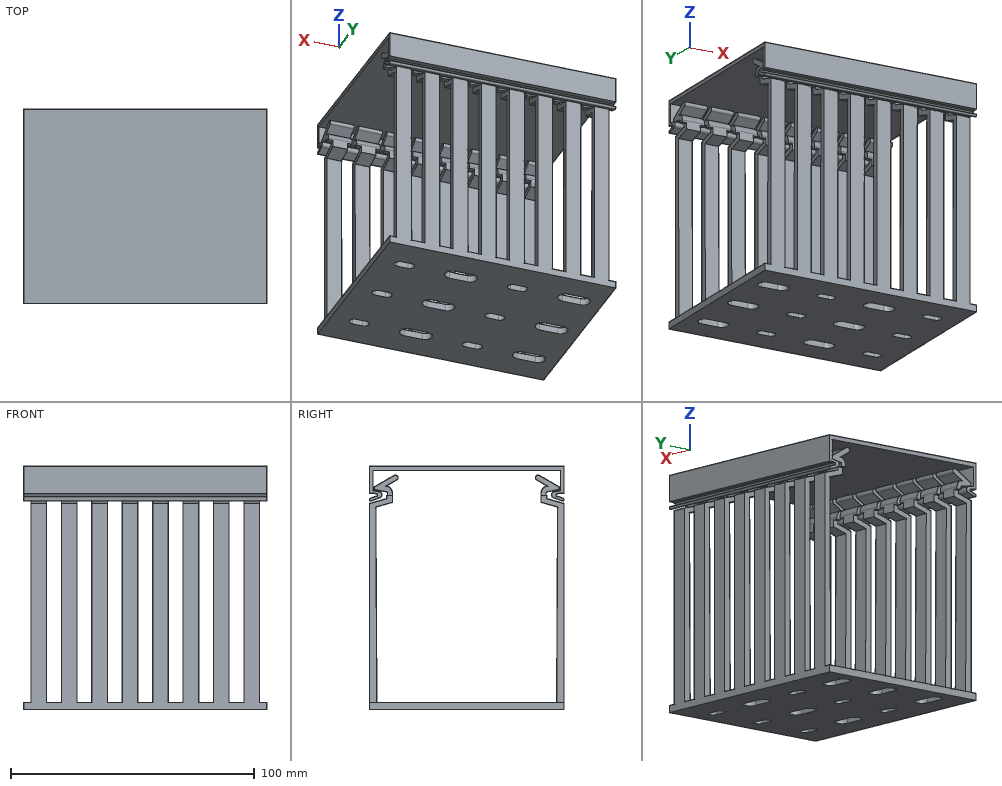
import cadquery as cq
import math

LENGTH = 100.0
WIDTH = 80.0
HEIGHT = 100.0

FLOOR_THICKNESS = 3.0
FINGER_COUNT = 8
FINGER_WIDTH = 6.5
FINGER_PITCH = LENGTH / FINGER_COUNT
FINGER_ROOT_THICKNESS = 3.1
FINGER_NECK_THICKNESS = 2.7

SLOT_COLUMNS = 4
SLOT_COLUMN_PITCH = LENGTH / SLOT_COLUMNS
SLOT_ROW_PITCH = 25.0
SLOT_ROWS = 3
LONG_SLOT_LENGTH = 14.0
LONG_SLOT_WIDTH = 6.0
SHORT_SLOT_LENGTH = 8.5
SHORT_SLOT_WIDTH = 4.0

LEDGE_ANGLE = 16.0
LEDGE_OUTER_Z = 84.7
LEDGE_UNDER_Z = 83.2
HEAD_DEPTH = 9.5
HEAD_WIDTH = 10.5
HEAD_BOTTOM_Z = 88.0
HEAD_TOP_Z = 91.7
HEAD_ARC_CENTER_Z = 88.8
HEAD_OUTER_RADIUS = 3.3
HEAD_INNER_RADIUS = 1.2
HEAD_INNER_TOP_Z = 89.4
POCKET_DEPTH = 7.1
BARB_DEPTH = 1.9
BARB_BOTTOM_Z = 90.4
ARM_ANGLE = 30.0
ARM_TIP_RADIUS = 1.1
ARM_TIP_DEPTH = 10.7
ARM_TIP_Z = 95.3

PANEL_THICKNESS = 1.8
SKIRT_THICKNESS = 1.5
SKIRT_BOTTOM_Z = 88.9
LIP_ROOT_Z = 90.0
LIP_TIP_RADIUS = 0.6
LIP_TIP_Z = 86.3
LIP_LEG_ANGLE = 23.0
LIP_OUTER_BEND = [(4.4, 89.5), (5.2, 88.2), (4.2, 87.0)]
LIP_INNER_BEND = [(2.6, 87.7), (3.3, 88.2), (2.7, 88.6)]
LIP_THROAT = (2.0, 88.9)


def rise(run, angle):
    """Height gained over a horizontal run at an angle in degrees."""
    return run * math.tan(math.radians(angle))


def side_profile():
    """Workplane across the duct: local x is the depth inward from the -Y outer face, local y is Z."""
    return cq.Workplane("YZ", origin=(-LENGTH / 2, -WIDTH / 2, 0))


def on_both_sides(side):
    """The -Y side piece together with its mirror image on the +Y side."""
    return side.union(side.mirror("XZ"))


def round_end(center, radius, lower_angle, middle_angle, upper_angle):
    """Three points on a circle, at angles in degrees, that describe a rounded end."""
    return [
        (
            center[0] + radius * math.cos(math.radians(angle)),
            center[1] + radius * math.sin(math.radians(angle)),
        )
        for angle in (lower_angle, middle_angle, upper_angle)
    ]


def finger_strip():
    """Full-length wall with its snap head, before it is divided into fingers."""
    arm_under, arm_end, arm_over = round_end(
        (ARM_TIP_DEPTH, ARM_TIP_Z), ARM_TIP_RADIUS, ARM_ANGLE - 90, ARM_ANGLE, ARM_ANGLE + 90
    )
    center_depth = HEAD_DEPTH - HEAD_OUTER_RADIUS
    head_pocket_depth = center_depth + HEAD_INNER_RADIUS

    def head_arc_point(radius, z):
        """Point at height z on the rounded head, on an arc of the given radius."""
        return (center_depth + math.sqrt(radius**2 - (z - HEAD_ARC_CENTER_Z) ** 2), z)

    outer_middle = head_arc_point(HEAD_OUTER_RADIUS, (HEAD_ARC_CENTER_Z + HEAD_TOP_Z) / 2)
    outer_top = head_arc_point(HEAD_OUTER_RADIUS, HEAD_TOP_Z)
    inner_top = head_arc_point(HEAD_INNER_RADIUS, HEAD_INNER_TOP_Z)
    inner_middle = head_arc_point(HEAD_INNER_RADIUS, (HEAD_ARC_CENTER_Z + HEAD_INNER_TOP_Z) / 2)
    arm_root_depth = arm_under[0] - (arm_under[1] - HEAD_TOP_Z) / math.tan(math.radians(ARM_ANGLE))

    return (
        side_profile()
        .moveTo(0, FLOOR_THICKNESS)
        .lineTo(FINGER_ROOT_THICKNESS, FLOOR_THICKNESS)
        .lineTo(FINGER_NECK_THICKNESS, LEDGE_UNDER_Z)
        .lineTo(HEAD_DEPTH, LEDGE_UNDER_Z + rise(HEAD_DEPTH - FINGER_NECK_THICKNESS, LEDGE_ANGLE))
        .lineTo(HEAD_DEPTH, HEAD_ARC_CENTER_Z)
        .threePointArc(outer_middle, outer_top)
        .lineTo(arm_root_depth, HEAD_TOP_Z)
        .lineTo(*arm_under)
        .threePointArc(arm_end, arm_over)
        .lineTo(BARB_DEPTH, arm_over[1] - rise(arm_over[0] - BARB_DEPTH, ARM_ANGLE))
        .lineTo(BARB_DEPTH, BARB_BOTTOM_Z)
        .lineTo(*inner_top)
        .threePointArc(inner_middle, (head_pocket_depth, HEAD_ARC_CENTER_Z))
        .lineTo(head_pocket_depth, HEAD_BOTTOM_Z)
        .lineTo(POCKET_DEPTH, HEAD_BOTTOM_Z)
        .lineTo(POCKET_DEPTH, LEDGE_OUTER_Z + rise(POCKET_DEPTH, LEDGE_ANGLE))
        .lineTo(0, LEDGE_OUTER_Z)
        .close()
        .extrude(LENGTH)
    )


def upright_blocks(width, bottom_z, top_z):
    """A row of blocks at the finger pitch, as wide as the duct, that select parts of a strip."""
    return (
        cq.Workplane("XY")
        .workplane(offset=bottom_z)
        .rarray(FINGER_PITCH, 1, FINGER_COUNT, 1)
        .rect(width, WIDTH)
        .extrude(top_z - bottom_z)
    )


def finger_row():
    """Separate fingers whose snap heads are wider than their stems."""
    stems = upright_blocks(FINGER_WIDTH, FLOOR_THICKNESS, HEAD_BOTTOM_Z)
    heads = upright_blocks(HEAD_WIDTH, HEAD_BOTTOM_Z, HEIGHT)
    return finger_strip().intersect(stems.union(heads))


def floor_slots(first_x, length, width):
    """Equal slots in every second slot column of the floor, starting with the column at first_x."""
    return (
        cq.Workplane("XY")
        .center(first_x + SLOT_COLUMN_PITCH, 0)
        .rarray(2 * SLOT_COLUMN_PITCH, SLOT_ROW_PITCH, SLOT_COLUMNS // 2, SLOT_ROWS)
        .slot2D(length, width)
        .extrude(FLOOR_THICKNESS)
    )


def make_base():
    """Slotted floor with a row of snap fingers along each long side."""
    first_column_x = (SLOT_COLUMN_PITCH - LENGTH) / 2
    floor = (
        cq.Workplane("XY")
        .rect(LENGTH, WIDTH)
        .extrude(FLOOR_THICKNESS)
        .cut(floor_slots(first_column_x, LONG_SLOT_LENGTH, LONG_SLOT_WIDTH))
        .cut(floor_slots(first_column_x + SLOT_COLUMN_PITCH, SHORT_SLOT_LENGTH, SHORT_SLOT_WIDTH))
    )
    return floor.union(on_both_sides(finger_row()))


def cover_skirt():
    """Side skirt of the cover with the V-shaped lip that snaps into the finger heads."""
    tip_under, tip_end, tip_over = round_end(
        (LIP_TIP_RADIUS, LIP_TIP_Z), LIP_TIP_RADIUS, LIP_LEG_ANGLE - 90, 180, LIP_LEG_ANGLE + 90
    )
    return (
        side_profile()
        .moveTo(0, HEIGHT)
        .lineTo(SKIRT_THICKNESS, HEIGHT)
        .lineTo(SKIRT_THICKNESS, LIP_ROOT_Z)
        .lineTo(*LIP_OUTER_BEND[0])
        .threePointArc(*LIP_OUTER_BEND[1:])
        .lineTo(*tip_under)
        .threePointArc(tip_end, tip_over)
        .lineTo(*LIP_INNER_BEND[0])
        .threePointArc(*LIP_INNER_BEND[1:])
        .lineTo(*LIP_THROAT)
        .lineTo(0, SKIRT_BOTTOM_Z)
        .close()
        .extrude(LENGTH)
    )


def make_cover():
    """Flat panel with a snap skirt along each long side."""
    panel = (
        cq.Workplane("XY")
        .workplane(offset=HEIGHT - PANEL_THICKNESS)
        .rect(LENGTH, WIDTH)
        .extrude(PANEL_THICKNESS)
    )
    return panel.union(on_both_sides(cover_skirt()))


base = make_base()
cover = make_cover()
result = cq.Compound.makeCompound([base.solids().val(), cover.solids().val()])